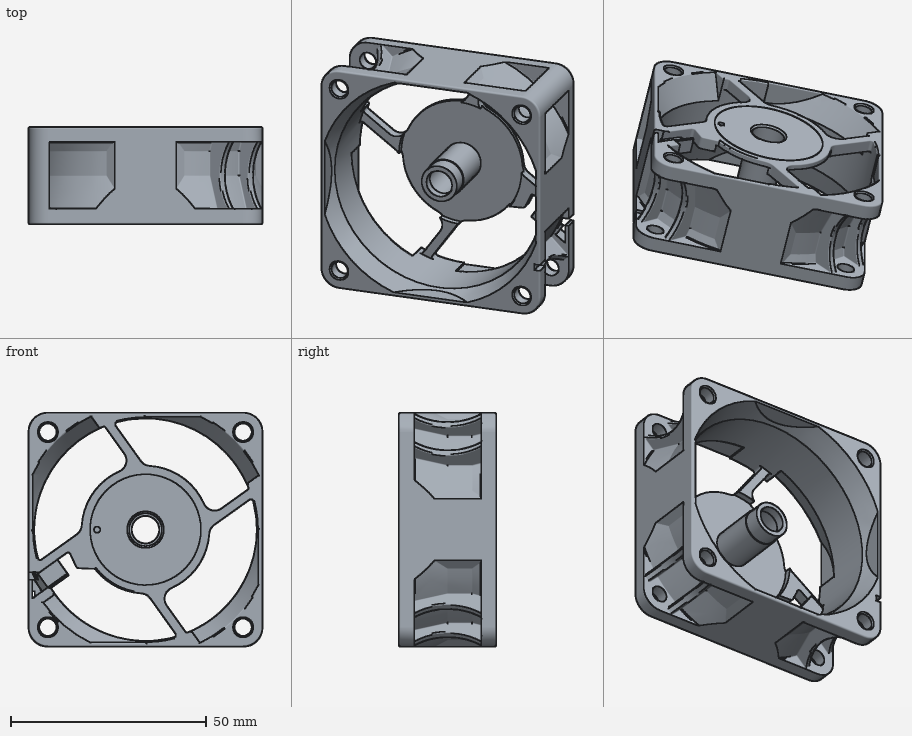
import cadquery as cq
import math

SIZE = 60.0
DEPTH = 25.0
HALF = SIZE / 2
FRONT = -DEPTH / 2
BACK = DEPTH / 2
CORNER_RADIUS = 5.0
RIM_ROUND = 0.5
OPENING_ROUND = 0.35
OVERLAP = 1.0
EDGE_REACH = 0.2

DUCT_RADIUS = 28.5
WALL = 1.5
MOUTH_RADIUS = 32.3
MOUTH_HALF_WIDTH = 28.9
BACK_FLARE_START = 6.3
BACK_FLARE_SLOPE = 0.34
FRONT_FLARE_START = -6.0
BACK_MOUTH_RADIUS = DUCT_RADIUS + BACK_FLARE_SLOPE * (BACK - BACK_FLARE_START)

WALL_FRONT_RADIUS = 32.6

SCREW_PITCH = 50.0
SCREW_RADIUS = 2.2
SCREW_CHAMFER = 0.4

POCKET_FRONT = -8.5
POCKET_BACK = 8.65
POCKET_START = 7.9
POCKET_TIP = 20.0
COLUMN_EDGE = 24.6
POCKET_ROUND = 0.3

RIB_THICKNESS = 2.0
RIB_OFFSET = 5.1
RIB_MIDDLE = 33.1
RIB_END = 36.1

HUB_RADIUS = 16.4
HUB_THICKNESS = 1.5
HUB_FACE_RADIUS = 14.2
HUB_FACE_RECESS = 0.1
STRUT_ANGLE = 35.5
STRUT_WIDTH = 2.4
STRUT_OFFSET = -8.05
STRUT_DEPTH = 3.3
STRUT_FILLET = 3.0
STRUT_STEP_RADIUS = 16.8
STRUT_END_ROUND = 0.6
STRUT_OUTER_EDGE = STRUT_OFFSET - STRUT_WIDTH / 2
STRUT_INNER_EDGE = STRUT_OFFSET + STRUT_WIDTH / 2
STRUT_REACH = DUCT_RADIUS
HUB_CORNER_REACH = 19.2
HUB_CORNER_TIP = (-17.6, -9.9)
HUB_CORNER_END = (-12.5, -10.1)
HUB_CORNER_ROUND = 1.0
HUB_CORNER_INNER_ROUND = 0.6
MOUTH_END_OFFSET = -5.5
CABLE_MOUTH_END_OFFSET = 0.0
LOCATING_HOLE_RADIUS = 0.8
LOCATING_HOLE_PLACE = -12.4
LOCATING_HOLE_DEPTH = 1.0

TUBE_RADIUS = 5.0
TUBE_TIP_RADIUS = 4.8
TUBE_STEP = 1.5
TUBE_END = 6.0
BORE_RADIUS = 3.5
SEAT_RADIUS = 4.2
SEAT_DEPTH = 16.0
SEAT_CHAMFER = 0.5

GUIDE_START = 22.8
GUIDE_FLOOR_END = 29.0
GUIDE_RAMP_END = 30.7
GUIDE_FLOOR = -10.2
GUIDE_THICKNESS = 1.7
GUIDE_EDGE = -1.9
GUIDE_RAIL = 0.6
GUIDE_RAIL_CHAMFER = 0.2
LIP_THICKNESS = 1.0
LIP_GAP_TOP = -10.9
LIP_GAP_BOTTOM = -12.8
LIP_GAP_REACH = 1.4
BACK_SLOT_TOP = -15.8
BACK_SLOT_BOTTOM = -17.4
BACK_SLOT_DEPTH = 1.6


def prism(points, y_start, y_end):
    """Extrude an XZ outline from y_start to y_end."""
    plane = cq.Workplane("XZ", origin=(0, y_end, 0))
    return plane.polyline(points).close().extrude(y_end - y_start)


def disc(radius, y_start, y_end):
    plane = cq.Workplane("XZ", origin=(0, y_end, 0))
    return plane.circle(radius).extrude(y_end - y_start)


def revolved(profile):
    """Revolve a closed (radius, y) profile about the Y axis."""
    return cq.Workplane("XY").polyline(profile).close().revolve(360, (0, 0, 0), (0, 1, 0))


def turned(shape, angle):
    """Turn a shape counterclockwise as seen from the front."""
    return shape.rotate((0, 0, 0), (0, -1, 0), angle)


def along_strut(u, offset, turn=0):
    """XZ point at distance u along a strut direction and at a sideways offset from the centre."""
    c = math.cos(math.radians(STRUT_ANGLE + turn))
    s = math.sin(math.radians(STRUT_ANGLE + turn))
    return (u * c - offset * s, u * s + offset * c)


def box_between(low, high):
    size = [b - a for a, b in zip(low, high)]
    return cq.Workplane("XY").box(*size, centered=False).translate(low)


def beside_strut(u_start, u_end, offset_start, offset_end, y_start, y_end, turn=0):
    """Box placed by its distances along a strut, sideways offsets from the centre and depth."""
    bar = box_between((u_start, y_start, offset_start), (u_end, y_end, offset_end))
    return turned(bar, STRUT_ANGLE + turn)


def make_frame():
    block = cq.Workplane("XY").box(SIZE, DEPTH, SIZE)
    block = block.edges("|Y").fillet(CORNER_RADIUS)
    return block.faces("<Y or >Y").edges().fillet(RIM_ROUND)


def make_duct():
    duct = disc(DUCT_RADIUS, FRONT, BACK)
    back_flare = revolved([
        (0, BACK_FLARE_START),
        (DUCT_RADIUS, BACK_FLARE_START),
        (BACK_MOUTH_RADIUS, BACK),
        (0, BACK),
    ])
    front_flare = revolved([
        (0, FRONT),
        (MOUTH_RADIUS, FRONT),
        (DUCT_RADIUS, FRONT_FLARE_START),
        (0, FRONT_FLARE_START),
    ])
    mouth_box = cq.Workplane("XY").box(2 * MOUTH_HALF_WIDTH, DEPTH, 2 * MOUTH_HALF_WIDTH)
    duct = duct.union(back_flare.intersect(mouth_box))
    for quarter in range(4):
        end = CABLE_MOUTH_END_OFFSET if quarter == 2 else MOUTH_END_OFFSET
        sector = prism(
            [
                along_strut(DUCT_RADIUS / 2, end),
                along_strut(SIZE, end),
                (SIZE, SIZE),
                (0, SIZE),
                (0, DUCT_RADIUS / 2),
            ],
            FRONT,
            FRONT_FLARE_START,
        )
        flare = front_flare.intersect(mouth_box).intersect(turned(sector, 90 * quarter))
        duct = duct.union(flare)
    return duct


def make_core():
    """Duct wall filled solid, as far as it shows between the flanges."""
    outer = DUCT_RADIUS + WALL
    back_outer = outer + BACK_FLARE_SLOPE * (POCKET_BACK - BACK_FLARE_START)
    return revolved([
        (0, POCKET_FRONT),
        (WALL_FRONT_RADIUS, POCKET_FRONT),
        (outer, 0),
        (outer, BACK_FLARE_START),
        (back_outer, POCKET_BACK),
        (0, POCKET_BACK),
    ])


def make_ribs():
    """Pair of scooped ribs along the diagonal of the upper right corner."""
    ribs = None
    for side in (-1, 1):
        start = side * RIB_OFFSET - RIB_THICKNESS / 2
        rib = (
            cq.Workplane("XY")
            .workplane(offset=start)
            .moveTo(0, POCKET_FRONT)
            .lineTo(RIB_END, POCKET_FRONT)
            .threePointArc((RIB_MIDDLE, 0), (RIB_END, POCKET_BACK))
            .lineTo(0, POCKET_BACK)
            .close()
            .extrude(RIB_THICKNESS)
        )
        ribs = rib if ribs is None else ribs.union(rib)
    return turned(ribs, 45)


def make_open_pocket():
    """Pocket that runs around the upper right corner."""
    far = HALF + OVERLAP
    outline = [
        (POCKET_START, HALF),
        (POCKET_TIP, POCKET_TIP),
        (HALF, POCKET_START),
        (far, POCKET_START),
        (far, far),
        (POCKET_START, far),
    ]
    return prism(outline, POCKET_FRONT, POCKET_BACK)


def make_closed_pockets():
    """Two pockets that leave a column at the upper left corner."""
    far = HALF + OVERLAP
    inner = POCKET_TIP - (COLUMN_EDGE - POCKET_TIP)
    top = [
        (-POCKET_START, HALF),
        (-POCKET_TIP, POCKET_TIP),
        (-COLUMN_EDGE, inner),
        (-COLUMN_EDGE, far),
        (-POCKET_START, far),
    ]
    side = [(-z, -x) for x, z in top]
    pockets = prism(top, POCKET_FRONT, POCKET_BACK)
    return pockets.union(prism(side, POCKET_FRONT, POCKET_BACK))


def rounded_inside(pocket):
    """Round the pocket edges that lie inside the frame."""
    reach = HALF - POCKET_ROUND
    inside = cq.selectors.BoxSelector((-reach, FRONT, -reach), (reach, BACK, reach))
    return pocket.edges(inside).fillet(POCKET_ROUND)


def cut_pockets(part):
    core = make_core()
    open_pocket = make_open_pocket().cut(make_ribs())
    scooped = open_pocket.cut(core)
    rounded_scoop = rounded_inside(scooped)
    for quarter in (0, 3):
        part = part.cut(turned(rounded_scoop, 90 * quarter))
    part = part.cut(rounded_inside(make_closed_pockets().cut(core)))
    beyond_rib = box_between((0, POCKET_FRONT, -SIZE), (SIZE, 0, -RIB_OFFSET))
    straight = open_pocket.intersect(turned(beyond_rib, 45)).cut(disc(DUCT_RADIUS + WALL, POCKET_FRONT, 0))
    cable_pocket = scooped.union(straight).clean()
    return part.cut(turned(rounded_inside(cable_pocket), 180))


def edge_at(x, z):
    """Selector for the front edges along Y at the given XZ place."""
    low = (x - EDGE_REACH, FRONT, z - EDGE_REACH)
    high = (x + EDGE_REACH, FRONT + STRUT_DEPTH, z + EDGE_REACH)
    return cq.selectors.BoxSelector(low, high)


def make_spider():
    """Thin hub plate with four deeper struts and a deep straight-sided corner facing the cable guide."""
    strut_back = FRONT + STRUT_DEPTH
    spider = disc(HUB_RADIUS, FRONT, strut_back)
    for quarter in range(4):
        bar = beside_strut(
            HUB_RADIUS / 2, STRUT_REACH, STRUT_OUTER_EDGE, STRUT_INNER_EDGE, FRONT, strut_back, 90 * quarter
        )
        spider = spider.union(bar)
    guide_u = math.sqrt(HUB_RADIUS**2 - STRUT_INNER_EDGE**2)
    guide_side = edge_at(*along_strut(guide_u, STRUT_INNER_EDGE, 180))
    reach = HUB_RADIUS + OVERLAP
    near_hub = cq.selectors.BoxSelector((-reach, FRONT, -reach), (reach, strut_back, reach))
    spider = spider.edges("|Y").edges(near_hub - guide_side).fillet(STRUT_FILLET)
    notch = along_strut(HUB_CORNER_REACH, STRUT_INNER_EDGE, 180)
    outline = [
        along_strut(HUB_RADIUS / 2, STRUT_OFFSET, 180),
        along_strut(HUB_CORNER_REACH, STRUT_OFFSET, 180),
        notch,
        HUB_CORNER_TIP,
        HUB_CORNER_END,
    ]
    corner = prism(outline, FRONT, strut_back)
    corner = corner.edges(edge_at(*HUB_CORNER_TIP)).edges("|Y").fillet(HUB_CORNER_ROUND)
    spider = spider.union(corner)
    spider = spider.edges("|Y").edges(edge_at(*notch)).fillet(HUB_CORNER_INNER_ROUND)
    return spider.cut(disc(STRUT_STEP_RADIUS, FRONT + HUB_THICKNESS, strut_back))


def round_strut_ends(part):
    """Round the corners where the struts run into the duct wall."""
    for quarter in range(4):
        for offset in (STRUT_OUTER_EDGE, STRUT_INNER_EDGE):
            u = math.sqrt(DUCT_RADIUS**2 - offset**2)
            x, z = along_strut(u, offset, 90 * quarter)
            part = part.edges("|Y").edges(edge_at(x, z)).fillet(STRUT_END_ROUND)
    return part


def round_opening_edges(part):
    """Round the front edges around the four air openings."""
    openings = part.faces("<Y").val().innerWires()
    edges = [edge for wire in openings for edge in wire.Edges()]
    return part.newObject(edges).fillet(OPENING_ROUND)


def add_cable_guide(part):
    """Channel from the duct beside the lower left strut, and the wire slots in both flanges."""
    guide_top = STRUT_INNER_EDGE
    rail_top = GUIDE_EDGE - GUIDE_RAIL
    floor_back = GUIDE_FLOOR + GUIDE_THICKNESS
    floor = beside_strut(
        GUIDE_START, GUIDE_FLOOR_END, STRUT_OFFSET, GUIDE_EDGE, GUIDE_FLOOR, floor_back, 180
    )
    rail = beside_strut(GUIDE_START, GUIDE_FLOOR_END, rail_top, GUIDE_EDGE, FRONT, GUIDE_FLOOR, 180)
    rail = rail.faces("<Y").edges().chamfer(GUIDE_RAIL_CHAMFER)
    channel = (
        cq.Workplane("XY")
        .workplane(offset=guide_top)
        .polyline([
            (GUIDE_START, FRONT),
            (GUIDE_START, GUIDE_FLOOR),
            (GUIDE_FLOOR_END, GUIDE_FLOOR),
            (GUIDE_RAMP_END, POCKET_FRONT),
            (SIZE, POCKET_FRONT),
            (SIZE, FRONT),
        ])
        .close()
        .extrude(rail_top - guide_top)
    )
    channel = turned(channel, STRUT_ANGLE + 180)
    lip_inside = LIP_THICKNESS - HALF
    slot_range = box_between((lip_inside, FRONT, -HALF), (0, POCKET_FRONT, LIP_GAP_TOP))
    gap = box_between(
        (-HALF, FRONT, LIP_GAP_BOTTOM), (lip_inside + LIP_GAP_REACH, POCKET_FRONT, LIP_GAP_TOP)
    )
    strut_side = box_between((lip_inside, FRONT, LIP_GAP_TOP), (0, GUIDE_FLOOR, 0))
    back_slot = box_between(
        (-HALF, POCKET_BACK, BACK_SLOT_BOTTOM), (BACK_SLOT_DEPTH - HALF, BACK, BACK_SLOT_TOP)
    )
    part = part.cut(channel.intersect(slot_range.union(strut_side)))
    part = part.cut(gap).cut(back_slot)
    return part.union(floor).union(rail)


def add_bearing_tube(part):
    part = part.union(disc(TUBE_RADIUS, FRONT, TUBE_STEP))
    part = part.union(disc(TUBE_TIP_RADIUS, FRONT, TUBE_END))
    part = part.cut(disc(HUB_FACE_RADIUS, FRONT, FRONT + HUB_FACE_RECESS))
    part = part.cut(disc(BORE_RADIUS, FRONT, TUBE_END))
    seat = revolved([
        (0, FRONT),
        (SEAT_RADIUS + SEAT_CHAMFER, FRONT),
        (SEAT_RADIUS + SEAT_CHAMFER, FRONT + HUB_FACE_RECESS),
        (SEAT_RADIUS, FRONT + HUB_FACE_RECESS + SEAT_CHAMFER),
        (SEAT_RADIUS, FRONT + SEAT_DEPTH),
        (0, FRONT + SEAT_DEPTH),
    ])
    part = part.cut(seat)
    locating_hole = disc(LOCATING_HOLE_RADIUS, FRONT, FRONT + LOCATING_HOLE_DEPTH)
    return part.cut(locating_hole.translate((LOCATING_HOLE_PLACE, 0, 0)))


def cut_screw_holes(part):
    mouth = SCREW_RADIUS + SCREW_CHAMFER
    hole = revolved([
        (0, FRONT),
        (mouth, FRONT),
        (SCREW_RADIUS, FRONT + SCREW_CHAMFER),
        (SCREW_RADIUS, BACK - SCREW_CHAMFER),
        (mouth, BACK),
        (0, BACK),
    ])
    for x in (-SCREW_PITCH / 2, SCREW_PITCH / 2):
        for z in (-SCREW_PITCH / 2, SCREW_PITCH / 2):
            part = part.cut(hole.translate((x, 0, z)))
    return part


part = make_frame().cut(make_duct())
part = part.union(make_spider())
part = round_strut_ends(part)
part = round_opening_edges(part)
part = cut_pockets(part)
part = add_cable_guide(part)
part = add_bearing_tube(part)
result = cut_screw_holes(part)